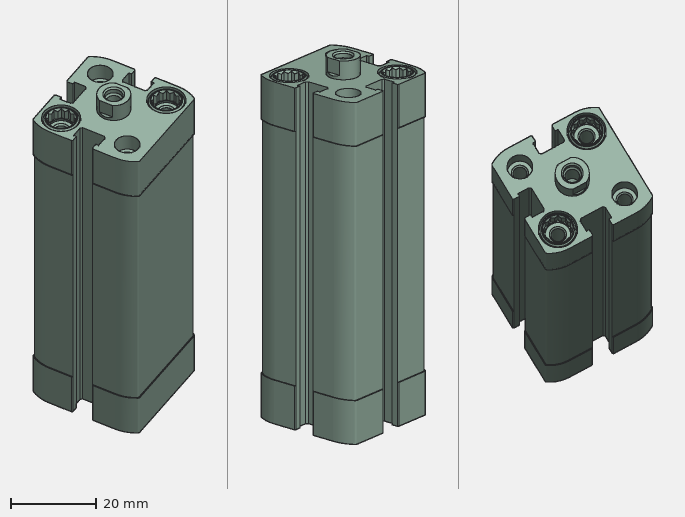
import cadquery as cq
import math

CAP_WIDTH = 29.0
CAP_STEP = 0.25
TUBE_WIDTH = CAP_WIDTH - 2 * CAP_STEP
TOTAL_HEIGHT = 90.5
ROD_EXPOSED = 4.7
HOUSING_HEIGHT = TOTAL_HEIGHT - ROD_EXPOSED
CAP_HEIGHT = 11.0
TUBE_HEIGHT = HOUSING_HEIGHT - 2 * CAP_HEIGHT
HOLE_OFFSET = 9.0

CAP_CORNER_RADIUS = 9.6
CORNER_BLEND_RADIUS = 0.6

SLOT_MOUTH_WIDTH = 5.3
SLOT_INNER_WIDTH = 6.8
SLOT_FLOOR = 9.3
SLOT_SHOULDER = 12.7
SLOT_FLOOR_CHAMFER = 0.45
SLOT_ANGLES = (90, 180, 270)

THROUGH_DIAMETER = 3.24
COUNTERSINK_DIAMETER = 4.0
COUNTERSINK_DEPTH = (COUNTERSINK_DIAMETER - THROUGH_DIAMETER) / 2
COUNTERBORE_DIAMETER = 6.0
COUNTERBORE_DEPTH = 4.2

SOCKET_POINTS = 12
SOCKET_TIP_RADIUS = 3.45
SOCKET_VALLEY_RADIUS = 3.1
SOCKET_DEPTH = 3.0
SOCKET_FLOOR_DEPTH = 3.5
SOCKET_MOUTH_RADIUS = 3.6
SOCKET_MOUTH_DEPTH = 0.65
HEAD_RADIUS = 4.25
HEAD_CHAMFER = 0.4
GROOVE_RADIUS = 4.6
GROOVE_DEPTH = SOCKET_DEPTH

ROD_DIAMETER = 8.0
ROD_LENGTH = ROD_EXPOSED + CAP_HEIGHT
FLAT_WIDTH = 7.15
FLAT_HEIGHT = 3.6
FLAT_RUNOUT = (ROD_DIAMETER - FLAT_WIDTH) / 2
ROD_HOLE_RADIUS = 2.15
ROD_HOLE_MOUTH_RADIUS = 2.55
ROD_HOLE_STEP_DEPTH = 1.5
ROD_DRILL_RADIUS = 1.7
ROD_DRILL_DEPTH = 8.0
DRILL_POINT_ANGLE = 118


def housing_section(width, corner_radius, height):
    """Square block with flat X sides, large corner arcs into the Y sides and blended edges between."""
    half = width / 2
    centre = half - corner_radius
    reach = half - HOLE_OFFSET
    corner_y = centre + math.sqrt(corner_radius**2 - reach**2)
    arc_turn = math.atan2(corner_y - centre, reach) + math.radians(90)
    middle_x = HOLE_OFFSET + corner_radius * math.cos(arc_turn / 2)
    middle_y = centre + corner_radius * math.sin(arc_turn / 2)
    return (
        cq.Workplane("XY")
        .moveTo(-HOLE_OFFSET, half)
        .lineTo(HOLE_OFFSET, half)
        .threePointArc((middle_x, middle_y), (half, corner_y))
        .lineTo(half, -corner_y)
        .threePointArc((middle_x, -middle_y), (HOLE_OFFSET, -half))
        .lineTo(-HOLE_OFFSET, -half)
        .threePointArc((-middle_x, -middle_y), (-half, -corner_y))
        .lineTo(-half, corner_y)
        .threePointArc((-middle_x, middle_y), (-HOLE_OFFSET, half))
        .close()
        .extrude(height)
        .edges("|Z and (<X or >X)")
        .fillet(CORNER_BLEND_RADIUS)
    )


def slot():
    """T-slot opening toward +X, with chamfered floor corners."""
    outside = CAP_WIDTH
    mouth = SLOT_MOUTH_WIDTH / 2
    inner = SLOT_INNER_WIDTH / 2
    chamfer_start = SLOT_FLOOR + SLOT_FLOOR_CHAMFER
    return (
        cq.Workplane("XY")
        .polyline([
            (outside, -mouth),
            (SLOT_SHOULDER, -mouth),
            (SLOT_SHOULDER, -inner),
            (chamfer_start, -inner),
            (SLOT_FLOOR, -inner + SLOT_FLOOR_CHAMFER),
            (SLOT_FLOOR, inner - SLOT_FLOOR_CHAMFER),
            (chamfer_start, inner),
            (SLOT_SHOULDER, inner),
            (SLOT_SHOULDER, mouth),
            (outside, mouth),
        ])
        .close()
        .extrude(HOUSING_HEIGHT)
    )


def cap_mouth_chamfers():
    """Wedge whose sloping sides bevel the two cap edges beside a slot on the +X side."""
    half_cap = CAP_WIDTH / 2
    half_tube = TUBE_WIDTH / 2
    mouth = SLOT_MOUTH_WIDTH / 2
    return (
        cq.Workplane("XY")
        .polyline([
            (half_tube, -mouth),
            (half_cap, -mouth - CAP_STEP),
            (half_cap, mouth + CAP_STEP),
            (half_tube, mouth),
        ])
        .close()
        .extrude(HOUSING_HEIGHT)
    )


def revolved(points):
    """Solid of revolution about Z from (radius, height) points."""
    return cq.Workplane("XZ").polyline(points).close().revolve(360, (0, 0, 0), (0, 1, 0))


def corner_hole(counterbore_depth):
    """Counterbored and countersunk through hole, with its mouth at Z = 0."""
    through = THROUGH_DIAMETER / 2
    counterbore = COUNTERBORE_DIAMETER / 2
    return revolved([
        (0, 0),
        (counterbore, 0),
        (counterbore, -counterbore_depth),
        (COUNTERSINK_DIAMETER / 2, -counterbore_depth),
        (through, -counterbore_depth - COUNTERSINK_DEPTH),
        (through, -HOUSING_HEIGHT),
        (0, -HOUSING_HEIGHT),
    ])


def socket():
    """Twelve-point star recess with a conical mouth at Z = 0."""
    star = []
    for i in range(2 * SOCKET_POINTS):
        radius = SOCKET_TIP_RADIUS if i % 2 == 0 else SOCKET_VALLEY_RADIUS
        angle = math.pi * i / SOCKET_POINTS
        star.append((radius * math.cos(angle), radius * math.sin(angle)))
    recess = cq.Workplane("XY").polyline(star).close().extrude(-SOCKET_DEPTH)
    mouth = revolved([
        (0, 0),
        (SOCKET_MOUTH_RADIUS, 0),
        (SOCKET_VALLEY_RADIUS, -SOCKET_MOUTH_DEPTH),
        (0, -SOCKET_MOUTH_DEPTH),
    ])
    return recess.union(mouth)


def head_groove():
    """Annular groove that leaves a chamfered screw head standing, with its mouth at Z = 0."""
    return revolved([
        (HEAD_RADIUS - HEAD_CHAMFER, 0),
        (HEAD_RADIUS, -HEAD_CHAMFER),
        (HEAD_RADIUS, -GROOVE_DEPTH),
        (GROOVE_RADIUS, -GROOVE_DEPTH),
        (GROOVE_RADIUS, 0),
    ])


def make_housing():
    tube_corner = CAP_CORNER_RADIUS - CAP_STEP
    tube = housing_section(TUBE_WIDTH, tube_corner, TUBE_HEIGHT)
    body = tube.translate((0, 0, CAP_HEIGHT))
    for bottom in (0, HOUSING_HEIGHT - CAP_HEIGHT):
        cap = housing_section(CAP_WIDTH, CAP_CORNER_RADIUS, CAP_HEIGHT)
        body = body.union(cap.translate((0, 0, bottom)))
    slot_cut = slot().union(cap_mouth_chamfers())
    for angle in SLOT_ANGLES:
        body = body.cut(slot_cut.rotate((0, 0, 0), (0, 0, 1), angle))
    for x in (-HOLE_OFFSET, HOLE_OFFSET):
        for y in (-HOLE_OFFSET, HOLE_OFFSET):
            has_screw = x == y
            depth = SOCKET_FLOOR_DEPTH if has_screw else COUNTERBORE_DEPTH
            place = (x, y, HOUSING_HEIGHT)
            body = body.cut(corner_hole(depth).translate(place))
            if has_screw:
                body = body.cut(socket().translate(place)).cut(head_groove().translate(place))
    rod_bore = cq.Workplane("XY").circle(ROD_DIAMETER / 2).extrude(-CAP_HEIGHT)
    return body.cut(rod_bore.translate((0, 0, HOUSING_HEIGHT)))


def make_rod():
    radius = ROD_DIAMETER / 2
    rod = cq.Workplane("XY").circle(radius).extrude(-ROD_LENGTH)
    chamfer = ROD_HOLE_MOUTH_RADIUS - ROD_HOLE_RADIUS
    step = ROD_HOLE_RADIUS - ROD_DRILL_RADIUS
    tip = ROD_DRILL_RADIUS / math.tan(math.radians(DRILL_POINT_ANGLE / 2))
    rod = rod.cut(revolved([
        (0, 0),
        (ROD_HOLE_MOUTH_RADIUS, 0),
        (ROD_HOLE_RADIUS, -chamfer),
        (ROD_HOLE_RADIUS, -ROD_HOLE_STEP_DEPTH),
        (ROD_DRILL_RADIUS, -ROD_HOLE_STEP_DEPTH - step),
        (ROD_DRILL_RADIUS, -ROD_DRILL_DEPTH),
        (0, -ROD_DRILL_DEPTH - tip),
    ]))
    half_flat = FLAT_WIDTH / 2
    flat = (
        cq.Workplane("YZ")
        .polyline([
            (half_flat, 0),
            (half_flat, -FLAT_HEIGHT),
            (half_flat + FLAT_RUNOUT, -FLAT_HEIGHT - FLAT_RUNOUT),
            (half_flat + FLAT_RUNOUT, 0),
        ])
        .close()
        .extrude(radius, both=True)
    )
    rod = rod.cut(flat).cut(flat.mirror("XZ"))
    return rod.translate((0, 0, TOTAL_HEIGHT))


housing = make_housing()
rod = make_rod()
result = cq.Compound.makeCompound([housing.val(), rod.val()])